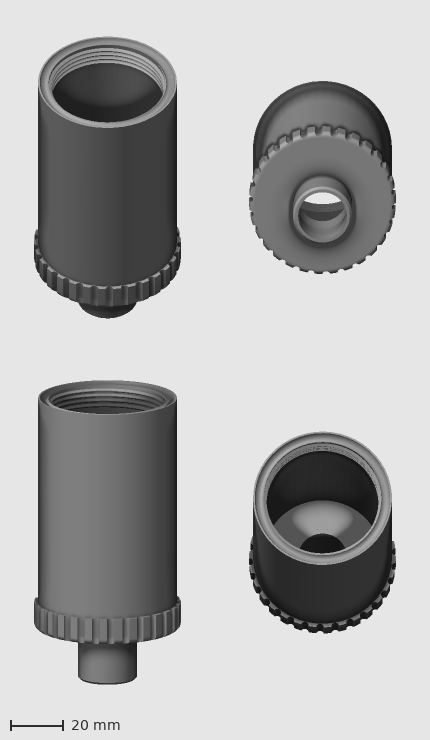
import cadquery as cq
import math

STEM_LENGTH = 20.0
CAP_HEIGHT = 10.0
TOTAL_HEIGHT = 110.0
CAP_TOP = STEM_LENGTH + CAP_HEIGHT

STEM_DIAMETER = 22.5
SPIGOT_DIAMETER = 21.9
STEM_BORE = 18.5
STEM_END_CHAMFER = 0.9

CAP_DIAMETER = 55.8
CAP_FILLET = 2.0
GRIP_COUNT = 30
GRIP_RADIUS = 1.4
GRIP_START_ANGLE = 3.0

TUBE_DIAMETER = 52.8
TUBE_BORE = 44.8
LAND_WIDTH = 0.7
RIM_LIP_DROP = 0.7
RIM_GROOVE_DEPTH = 1.4

THREAD_MINOR = 42.6
THREAD_PITCH = 2.0
THREAD_TURNS = 4
THREAD_CREST = 0.28
THREAD_BASE = 1.4
THREAD_EMBED = 0.3
THREAD_TOP_DROP = 1.8
RUNOUT_ANGLE = 90.0
THREAD_TOP = TOTAL_HEIGHT - THREAD_TOP_DROP
THREAD_LENGTH = THREAD_PITCH * THREAD_TURNS


def make_stem():
    """Stem with a spigot that fills the hole of the cap, bored through."""
    stem = cq.Workplane("XY").circle(STEM_DIAMETER / 2).extrude(STEM_LENGTH)
    stem = stem.faces("<Z").edges().chamfer(STEM_END_CHAMFER)
    stem = stem.faces(">Z").workplane().circle(SPIGOT_DIAMETER / 2).extrude(CAP_HEIGHT)
    return stem.faces(">Z").workplane().hole(STEM_BORE)


def make_cap():
    """Disc with a rounded lower edge, round grip grooves and a hole for the spigot."""
    cap = cq.Workplane("XY", origin=(0, 0, STEM_LENGTH)).circle(CAP_DIAMETER / 2).extrude(CAP_HEIGHT)
    cap = cap.faces("<Z").edges().fillet(CAP_FILLET)
    grips = (
        cq.Workplane("XY", origin=(0, 0, STEM_LENGTH))
        .polarArray(CAP_DIAMETER / 2, GRIP_START_ANGLE, 360, GRIP_COUNT)
        .circle(GRIP_RADIUS)
        .extrude(CAP_HEIGHT)
    )
    return cap.cut(grips).faces(">Z").workplane().hole(SPIGOT_DIAMETER)


def sweep_ridge(helix):
    """Trapezoidal ridge along a helix that starts at +X, with its foot embedded in the wall of the bore."""
    crest_radius = THREAD_MINOR / 2
    root_radius = TUBE_BORE / 2
    foot_radius = root_radius + THREAD_EMBED
    flank_slope = (THREAD_BASE - THREAD_CREST) / 2 / (root_radius - crest_radius)
    foot_half = THREAD_BASE / 2 + THREAD_EMBED * flank_slope
    profile = cq.Workplane("XZ").polyline([
        (foot_radius, -foot_half),
        (crest_radius, -THREAD_CREST / 2),
        (crest_radius, THREAD_CREST / 2),
        (foot_radius, foot_half),
    ]).close()
    return profile.sweep(cq.Workplane(helix), isFrenet=True)


def make_thread():
    """Full turns of thread, whose two ends sink gradually into the wall."""
    root_radius = TUBE_BORE / 2
    turns = sweep_ridge(cq.Wire.makeHelix(THREAD_PITCH, THREAD_LENGTH, root_radius))

    sink = root_radius - THREAD_MINOR / 2
    rise = THREAD_PITCH * RUNOUT_ANGLE / 360
    slant = math.hypot(sink, rise)
    cone_angle = math.degrees(math.atan2(sink, rise))
    slant_pitch = slant * 360 / RUNOUT_ANGLE
    upper_runout = sweep_ridge(cq.Wire.makeHelix(slant_pitch, slant, root_radius, angle=cone_angle))
    lower_runout = upper_runout.rotate((0, 0, 0), (1, 0, 0), 180)
    thread = turns.union(upper_runout.translate((0, 0, THREAD_LENGTH))).union(lower_runout)
    return thread.translate((0, 0, THREAD_TOP - THREAD_LENGTH))


def make_mouth_cut():
    """Ring that hollows the rim into a round groove, leaving a flat land outside and a lip inside."""
    land_radius = TUBE_DIAMETER / 2 - LAND_WIDTH
    bore_radius = TUBE_BORE / 2
    inner_radius = THREAD_MINOR / 2
    lip_height = TOTAL_HEIGHT - RIM_LIP_DROP
    return (
        cq.Workplane("XZ")
        .moveTo(inner_radius, TOTAL_HEIGHT)
        .lineTo(inner_radius, lip_height)
        .lineTo(bore_radius, lip_height)
        .threePointArc(
            ((land_radius + bore_radius) / 2, TOTAL_HEIGHT - RIM_GROOVE_DEPTH),
            (land_radius, TOTAL_HEIGHT),
        )
        .close()
        .revolve(360, (0, 0, 0), (0, 1, 0))
    )


def make_tube():
    """Tube with a thread in its mouth and a round groove in its rim."""
    tube = (
        cq.Workplane("XY", origin=(0, 0, CAP_TOP))
        .circle(TUBE_DIAMETER / 2)
        .circle(TUBE_BORE / 2)
        .extrude(TOTAL_HEIGHT - CAP_TOP)
    )
    return tube.union(make_thread()).cut(make_mouth_cut())


stem = make_stem()
cap = make_cap()
tube = make_tube()
result = cq.Compound.makeCompound([stem.val(), cap.val(), tube.val()])